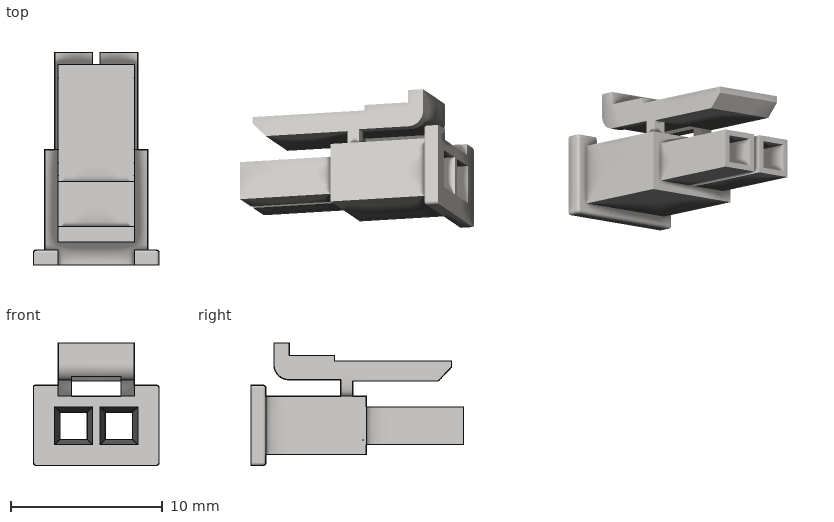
import cadquery as cq

flange_width = 8.27
flange_height = 5.29
flange_depth = 1.0
flange_corner_radius = 0.2
flange_small_corner_radius = 0.13
flange_rear_radius = 0.2

body_width = 6.8
body_bottom = 0.71
body_top = 4.58
body_end = 7.6
total_length = 14.0
tube_size = 2.49
tube_gap = 0.49
tube_center_z = 2.62
tube_pitch = tube_size + tube_gap
contact_hole_size = 1.78
funnel_depth = 1.75

arm_width = 5.03
arm_front = 1.51
arm_tip = 13.2
arm_top = 6.89
arm_rear_bottom = 5.56
arm_front_bottom = 5.64
arm_front_radius = 1.0
tip_chamfer_length = 0.88
tip_chamfer_height = 0.91
pad_rear = 5.52
pad_top = 7.25
lip_rear = 2.53
lip_top = 8.08

post_front = 5.91
post_rear = 6.7
window_width = 3.25
window_top = 5.87


def block(width, y_start, y_end, z_bottom, z_top, center_x=0):
    """Box centred on center_x, spanning the given Y and Z limits."""
    return cq.Workplane("XY").box(
        width, y_end - y_start, z_top - z_bottom, centered=(True, False, False)
    ).translate((center_x, y_start, z_bottom))


def make_flange():
    """Plate with rounded corners and rear edge, notched at the top below the arm."""
    plate = block(flange_width, 0, flange_depth, 0, flange_height)
    plate = plate.edges("|Y and (>X or <Z)").fillet(flange_corner_radius)
    plate = plate.edges("|Y and <X and >Z").fillet(flange_small_corner_radius)
    plate = plate.faces(">Y").edges().fillet(flange_rear_radius)
    return plate.cut(block(arm_width, 0, flange_depth, body_top, flange_height))


def make_tube(center_x):
    """Solid square tube blank, bored later by its cavity."""
    half = tube_size / 2
    return block(tube_size, body_end, total_length, tube_center_z - half, tube_center_z + half, center_x)


def make_cavity(center_x):
    """Square socket that funnels down to the contact hole at the end of the body."""
    half_socket = tube_size / 2
    half_hole = contact_hole_size / 2
    funnel_start = body_end - funnel_depth
    socket = block(
        tube_size, 0, funnel_start, tube_center_z - half_socket, tube_center_z + half_socket, center_x
    )
    hole_bottom = tube_center_z - half_hole
    hole_top = tube_center_z + half_hole
    hole = block(contact_hole_size, body_end, total_length, hole_bottom, hole_top, center_x)
    funnel = (
        cq.Workplane("XZ", origin=(center_x, funnel_start, tube_center_z))
        .rect(tube_size, tube_size)
        .workplane(offset=-funnel_depth)
        .rect(contact_hole_size, contact_hole_size)
        .loft(ruled=True)
    )
    return socket.union(funnel).union(hole)


def make_latch():
    """Latch arm with its finger lip, on two posts standing on the body."""
    arm = (
        cq.Workplane("YZ", origin=(-arm_width / 2, 0, 0))
        .moveTo(arm_front, lip_top)
        .lineTo(lip_rear, lip_top)
        .lineTo(lip_rear, pad_top)
        .lineTo(pad_rear, pad_top)
        .lineTo(pad_rear, arm_top)
        .lineTo(arm_tip, arm_top)
        .lineTo(arm_tip, arm_rear_bottom + tip_chamfer_height)
        .lineTo(arm_tip - tip_chamfer_length, arm_rear_bottom)
        .lineTo(post_rear, arm_rear_bottom)
        .lineTo(post_rear, body_top)
        .lineTo(post_front, body_top)
        .lineTo(post_front, arm_front_bottom)
        .lineTo(arm_front + arm_front_radius, arm_front_bottom)
        .radiusArc((arm_front, arm_front_bottom + arm_front_radius), arm_front_radius)
        .close()
        .extrude(arm_width)
    )
    return arm.cut(block(window_width, arm_front, post_rear, body_top, window_top))


result = make_flange()
result = result.union(block(body_width, 0, body_end, body_bottom, body_top))
result = result.union(make_latch())
tube_centers = (-tube_pitch / 2, tube_pitch / 2)
for tube_x in tube_centers:
    result = result.union(make_tube(tube_x))
for tube_x in tube_centers:
    result = result.cut(make_cavity(tube_x))